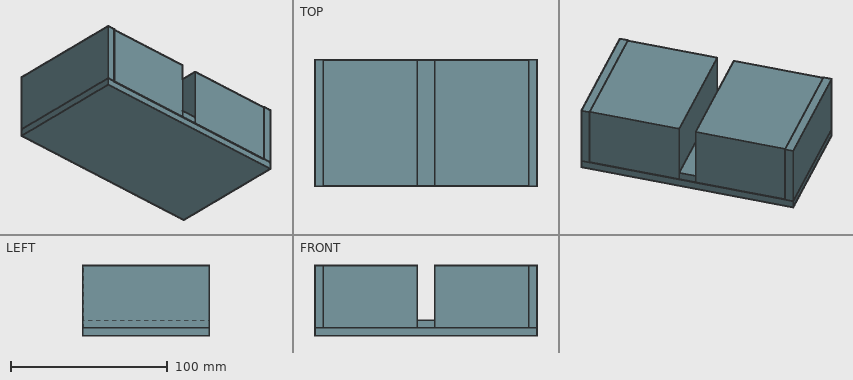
import cadquery as cq

base_depth = 81.0
base_thickness = 5.0

overall_height = 45.0
standing_height = overall_height - base_thickness
end_plate_thickness = 5.5
block_length = 60.0
block_depth = 80.0

ridge_width = 11.0
ridge_height = 5.0

base_length = ridge_width + 2 * (block_length + end_plate_thickness)

block_offset = (ridge_width + block_length) / 2
end_plate_offset = (base_length - end_plate_thickness) / 2

SIDES = (-1, 1)


def box_standing_at(x_centre, z_bottom, length, depth, height):
    """Box centred on the X axis line at x_centre, resting on z_bottom."""
    return (
        cq.Workplane("XY")
        .box(length, depth, height, centered=(True, True, False))
        .translate((x_centre, 0, z_bottom))
    )


def make_base():
    """Flat plate with the central ridge, which is as deep as the blocks."""
    plate = box_standing_at(0, 0, base_length, base_depth, base_thickness)
    ridge = box_standing_at(0, base_thickness, ridge_width, block_depth, ridge_height)
    return plate.union(ridge)


def make_block(side):
    """Block between the ridge and an end plate."""
    return box_standing_at(
        side * block_offset, base_thickness, block_length, block_depth, standing_height
    )


def make_end_plate(side):
    """Upright plate flush with the end and both long edges of the base."""
    return box_standing_at(
        side * end_plate_offset, base_thickness, end_plate_thickness, base_depth, standing_height
    )


base = make_base()
blocks = [make_block(side) for side in SIDES]
end_plates = [make_end_plate(side) for side in SIDES]

result = cq.Compound.makeCompound([
    base.val(),
    *[block.val() for block in blocks],
    *[end_plate.val() for end_plate in end_plates],
])